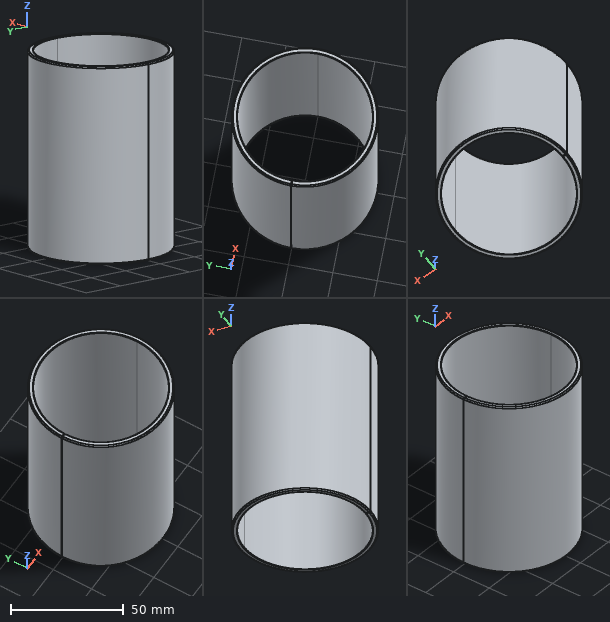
import cadquery as cq

length = 90.0
outer_diameter = 65.0
wall = 2.5
outer_chamfer = 0.6
inner_chamfer = 0.3
slit_width = 0.4

outer_radius = outer_diameter / 2
inner_radius = outer_radius - wall


def sleeve_body():
    """Revolve the wall section, with both rims chamfered, about Z."""
    section = (
        cq.Workplane("XZ")
        .moveTo(inner_radius + inner_chamfer, 0)
        .lineTo(outer_radius - outer_chamfer, 0)
        .lineTo(outer_radius, outer_chamfer)
        .lineTo(outer_radius, length - outer_chamfer)
        .lineTo(outer_radius - outer_chamfer, length)
        .lineTo(inner_radius + inner_chamfer, length)
        .lineTo(inner_radius, length - inner_chamfer)
        .lineTo(inner_radius, inner_chamfer)
        .close()
    )
    return section.revolve(360, (0, 0, 0), (0, 1, 0))


def slit_cutter():
    """Full-length slit through the -X wall, with one face on the XZ plane."""
    slit = cq.Workplane("XY").box(outer_radius, slit_width, length, centered=False)
    return slit.translate((-outer_radius, 0, 0))


result = sleeve_body().cut(slit_cutter())